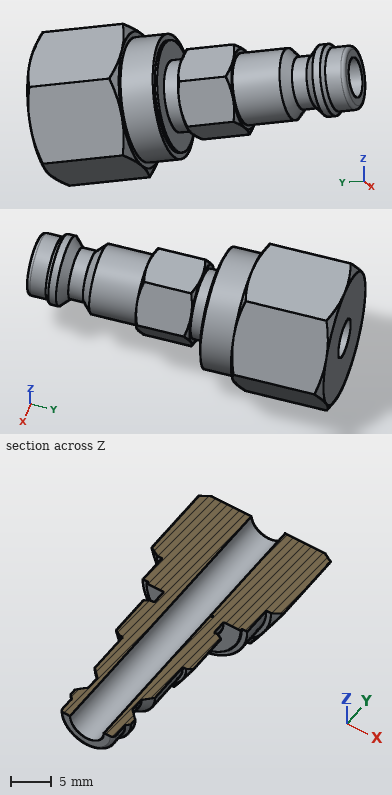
import cadquery as cq
import math


NUT_FLATS = 17.0
GRIP_FLATS = 10.0
HEX_CHAMFER_ANGLE = 30.0

COLLAR_DIA = 15.6
STEP_DIA = 14.0
SHANK_DIA = 9.0
GROOVE_DIA = 6.6
TIP_DIA = 8.0
BORE_DIA = 5.0

TOTAL_LENGTH = 40.0
NUT_LENGTH = 12.0
COLLAR_LENGTH = 4.2
STEP_LENGTH = 0.3
NECK_LENGTH = 2.0
GRIP_LENGTH = 7.0
SHANK_LENGTH = 6.15
GROOVE_TAPER = (SHANK_DIA - GROOVE_DIA) / 2
GROOVE_LENGTH = 1.9
RIB_LENGTH = 1.0
RIB_TAPER = (SHANK_DIA - TIP_DIA) / 2
TIP_ROUND = 0.5

nut_end = NUT_LENGTH
collar_end = nut_end + COLLAR_LENGTH
step_end = collar_end + STEP_LENGTH
grip_start = step_end + NECK_LENGTH
grip_end = grip_start + GRIP_LENGTH
shank_end = grip_end + SHANK_LENGTH
groove_start = shank_end + GROOVE_TAPER
groove_end = groove_start + GROOVE_LENGTH
rib_start = groove_end + GROOVE_TAPER
rib_end = rib_start + RIB_LENGTH
tip_start = rib_end + RIB_TAPER


def revolve_about_y(profile):
    return profile.close().revolve(360, (0, 0, 0), (0, 1, 0))


def chamfered_hex(flats, start, length):
    """Hexagon along Y with corners on the X axis, turned to a cone at both ends."""
    corner_radius = flats / math.sqrt(3)
    flat_radius = flats / 2
    corner_drop = (corner_radius - flat_radius) * math.tan(math.radians(HEX_CHAMFER_ANGLE))
    end = start + length
    prism = (
        cq.Workplane("XZ", origin=(0, -start, 0))
        .polygon(6, 2 * corner_radius)
        .extrude(length)
    )
    envelope = revolve_about_y(
        cq.Workplane("XY")
        .moveTo(0, -start)
        .lineTo(flat_radius, -start)
        .lineTo(corner_radius, -start - corner_drop)
        .lineTo(corner_radius, -end + corner_drop)
        .lineTo(flat_radius, -end)
        .lineTo(0, -end)
    )
    return prism.intersect(envelope)


def turned_body():
    """Collar, shank, locking groove, rib and rounded tip as one turned shape."""
    collar_radius = COLLAR_DIA / 2
    step_radius = STEP_DIA / 2
    shank_radius = SHANK_DIA / 2
    groove_radius = GROOVE_DIA / 2
    tip_radius = TIP_DIA / 2
    return revolve_about_y(
        cq.Workplane("XY")
        .moveTo(0, 0)
        .lineTo(collar_radius, 0)
        .lineTo(collar_radius, -collar_end)
        .lineTo(step_radius, -collar_end)
        .lineTo(step_radius, -step_end)
        .lineTo(shank_radius, -step_end)
        .lineTo(shank_radius, -shank_end)
        .lineTo(groove_radius, -groove_start)
        .lineTo(groove_radius, -groove_end)
        .lineTo(shank_radius, -rib_start)
        .lineTo(shank_radius, -rib_end)
        .lineTo(tip_radius, -tip_start)
        .lineTo(tip_radius, -TOTAL_LENGTH + TIP_ROUND)
        .radiusArc((tip_radius - TIP_ROUND, -TOTAL_LENGTH), TIP_ROUND)
        .lineTo(0, -TOTAL_LENGTH)
    )


def through_bore():
    return cq.Workplane("XZ").circle(BORE_DIA / 2).extrude(TOTAL_LENGTH)


nut = chamfered_hex(NUT_FLATS, 0, NUT_LENGTH)
grip = chamfered_hex(GRIP_FLATS, grip_start, GRIP_LENGTH)
result = turned_body().union(nut).union(grip).cut(through_bore())